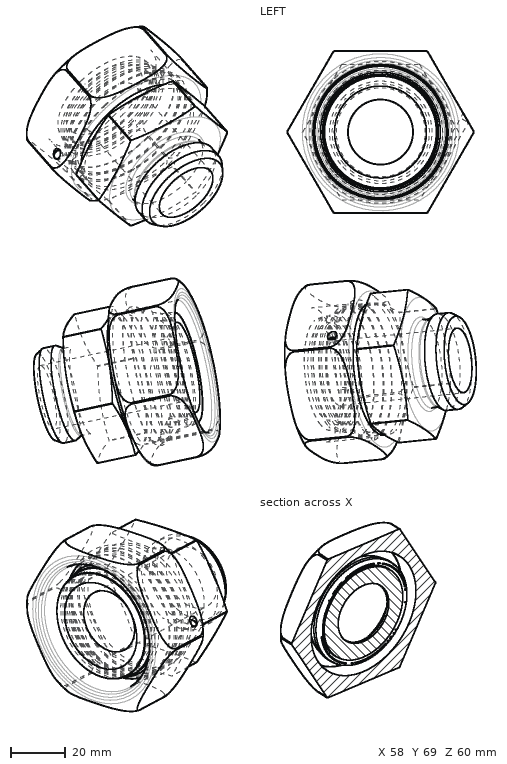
import cadquery as cq
import math


nut_length = 25.05
nut_across_flats = 60.0
nut_corner_radius = 34.5
nut_edge_round = 5.45
lead_in_radius = 27.1
lead_in_angle = 30.0
lead_in_outer_round = 2.1
lead_in_inner_round = 1.25
nut_bore_radius = 50.0 / 2
nut_rear_bore_radius = 49.3 / 2
bore_overrun = 0.7

wire_diameter = 3.3
wire_ring_radius = nut_rear_bore_radius
wire_x = 19.45
channel_length = 19.3
entry_diameter = 3.5
entry_reach = 6.9
entry_tilt = 30.0

nose_x = 4.0
nose_radius = 20.7
nose_chamfer = 0.17
cone_half_angle = 12.0
shoulder_x = 14.1
cone_root_round = 0.75
bore_radius = 24.0 / 2
bore_mouth_radius = 17.05
collar_radius = 48.9 / 2
collar_chamfer = 0.15

hex_start_x = 27.05
hex_end_x = 43.95
hex_across_flats = 50.1
hex_corner_radius = 28.85
hex_chamfer_radius = 24.85
hex_chamfer_angle = 15.0

neck_radius = 32.9 / 2
neck_round = 1.1
flank_angle = 30.0
spigot_x = 50.85
spigot_radius = 36.0 / 2
spigot_chamfer_x = 55.4
spigot_end_radius = neck_radius
total_length = 58.0

o_ring_x = 8.7
o_ring_section = 2.5
o_ring_inner_radius = 19.0
o_ring_groove_width = 3.25

match_tolerance = 0.01


def sin(degrees):
    return math.sin(math.radians(degrees))


def cos(degrees):
    return math.cos(math.radians(degrees))


def tan(degrees):
    return math.tan(math.radians(degrees))


def turned(points):
    """Revolve a closed outline of (x, radius) points about the X axis."""
    return cq.Workplane("XY").polyline(points).close().revolve(360, (0, 0, 0), (1, 0, 0))


def round_corner(solid, corner, size):
    """Fillet the circular edge that a corner (x, radius) of a turned outline sweeps."""
    x, radius = corner

    def is_swept_edge(edge):
        if edge.geomType() != "CIRCLE":
            return False
        return math.hypot(edge.arcCenter().x - x, edge.radius() - radius) < match_tolerance

    return solid.edges().filter(is_swept_edge).fillet(size)


def hexagon(start_x, length, across_flats):
    """A hexagonal bar along X with two flats facing up and down and corners on Y."""
    across_corners = across_flats / cos(30)
    return cq.Workplane("YZ", origin=(start_x, 0, 0)).polygon(6, across_corners).extrude(length)


def ring(x, ring_radius, section_diameter):
    """A torus about the X axis."""
    return cq.Workplane(
        cq.Solid.makeTorus(ring_radius, section_diameter / 2, cq.Vector(x, 0, 0), cq.Vector(1, 0, 0))
    )


def make_wire():
    return ring(wire_x, wire_ring_radius, wire_diameter)


def make_o_ring():
    return ring(o_ring_x, o_ring_inner_radius + o_ring_section / 2, o_ring_section)


def nut_envelope():
    """Round bar with rounded ends that trims the hexagon corners of the nut."""
    bar = cq.Workplane("YZ").circle(nut_corner_radius).extrude(nut_length)
    return bar.edges().fillet(nut_edge_round)


def nut_bore():
    """Stepped bore of the nut with a rounded conical lead-in at the mouth."""
    lead_in_end = ((lead_in_radius - nut_bore_radius) * tan(lead_in_angle), nut_bore_radius)
    bore = turned(
        [
            (-bore_overrun, 0),
            (-bore_overrun, lead_in_radius),
            (0, lead_in_radius),
            lead_in_end,
            (wire_x, nut_bore_radius),
            (wire_x, nut_rear_bore_radius),
            (nut_length, nut_rear_bore_radius),
            (nut_length, 0),
        ]
    )
    return round_corner(bore, lead_in_end, lead_in_inner_round)


def wire_entry():
    """Hole that runs from a flat of the nut tangentially into the wire groove."""
    y_part = -sin(entry_tilt)
    z_part = cos(entry_tilt)
    outward = cq.Vector(0, y_part, z_part)
    tangent_point = cq.Vector(wire_x, -wire_ring_radius * z_part, wire_ring_radius * y_part)
    entry_start = tangent_point + outward * channel_length
    channel = cq.Solid.makeCylinder(wire_diameter / 2, channel_length, tangent_point, outward)
    entry = cq.Solid.makeCylinder(entry_diameter / 2, entry_reach, entry_start, outward)
    return cq.Workplane(channel.fuse(entry))


def make_nut():
    nut = hexagon(0, nut_length, nut_across_flats).intersect(nut_envelope()).cut(nut_bore())
    nut = round_corner(nut, (0, lead_in_radius), lead_in_outer_round)
    return nut.cut(make_wire()).cut(wire_entry())


def sealing_end():
    """Nose, sealing cone, shoulder and collar, up to the hexagon."""
    cone_start_x = nose_x + nose_chamfer
    cone_start_radius = nose_radius + nose_chamfer
    shoulder_corner = (
        shoulder_x,
        cone_start_radius + (shoulder_x - cone_start_x) * tan(cone_half_angle),
    )
    end = turned(
        [
            (nose_x, 0),
            (nose_x, nose_radius),
            (cone_start_x, cone_start_radius),
            shoulder_corner,
            (shoulder_x, collar_radius - collar_chamfer),
            (shoulder_x + collar_chamfer, collar_radius),
            (hex_start_x, collar_radius),
            (hex_start_x, 0),
        ]
    )
    return round_corner(end, shoulder_corner, cone_root_round)


def body_hexagon():
    """Hexagon with a shallow conical chamfer at both ends."""
    chamfer_depth = (hex_corner_radius - hex_chamfer_radius) * tan(hex_chamfer_angle)
    envelope = turned(
        [
            (hex_start_x, 0),
            (hex_start_x, hex_chamfer_radius),
            (hex_start_x + chamfer_depth, hex_corner_radius),
            (hex_end_x - chamfer_depth, hex_corner_radius),
            (hex_end_x, hex_chamfer_radius),
            (hex_end_x, 0),
        ]
    )
    return hexagon(hex_start_x, hex_end_x - hex_start_x, hex_across_flats).intersect(envelope)


def spigot():
    """Neck and outer spigot with a sloping flank and an end chamfer."""
    neck_corner = (spigot_x - (spigot_radius - neck_radius) / tan(flank_angle), neck_radius)
    outer = turned(
        [
            (hex_end_x, 0),
            (hex_end_x, neck_radius),
            neck_corner,
            (spigot_x, spigot_radius),
            (spigot_chamfer_x, spigot_radius),
            (total_length, spigot_end_radius),
            (total_length, 0),
        ]
    )
    return round_corner(outer, neck_corner, neck_round)


def body_bore():
    """Through bore with a 45 degree countersink at the nose."""
    countersink_depth = bore_mouth_radius - bore_radius
    return turned(
        [
            (nose_x, 0),
            (nose_x, bore_mouth_radius),
            (nose_x + countersink_depth, bore_radius),
            (total_length, bore_radius),
            (total_length, 0),
        ]
    )


def o_ring_groove():
    """Square groove in the sealing cone."""
    groove = cq.Workplane("YZ", origin=(o_ring_x - o_ring_groove_width / 2, 0, 0))
    return groove.circle(collar_radius).circle(o_ring_inner_radius).extrude(o_ring_groove_width)


def make_body():
    body = sealing_end().union(body_hexagon()).union(spigot())
    body = round_corner(body, (hex_end_x, neck_radius), neck_round)
    return body.cut(body_bore()).cut(o_ring_groove()).cut(make_wire())


nut = make_nut().solids()
body = make_body().solids()
wire = make_wire()
o_ring = make_o_ring()

result = cq.Compound.makeCompound([nut.val(), body.val(), wire.val(), o_ring.val()])